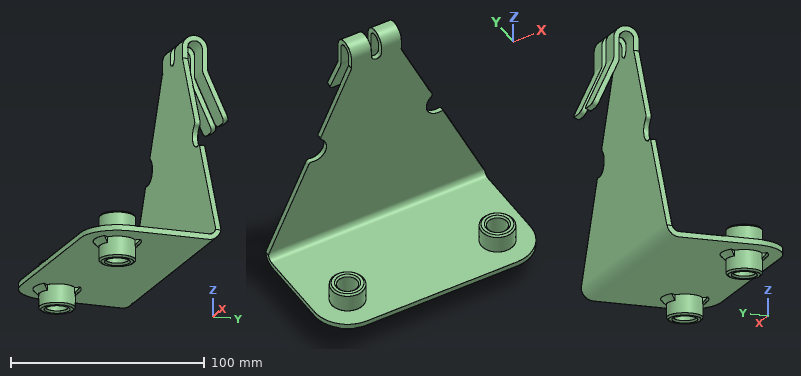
import cadquery as cq
import math


sheet = 3.0
inner_bend = 4.0
outer_bend = inner_bend + sheet

base_width = 130.0
base_depth = 70.0
base_corner = 20.0

overall_height = 126.0
hook_width = 30.0
hook_root_z = 113.0
hook_arc_z = overall_height - outer_bend
taper = math.radians(25)

notch_radius = 7.0
notch_z = 65.75
notch_corner = 2.0

slot_width = 6.0

return_length = 10.5
flare = math.radians(25)
tail_length = 27.3
tail_corner = 3.0

bushing_outer = 19.0
bushing_bore = 11.45
bushing_length = 25.0
bushing_chamfer = 1.0
bushing_clearance_hole = 19.2
bushing_spacing = base_width - 2 * base_corner
bushing_y = base_corner - base_depth
bushing_bottom_z = (sheet - bushing_length) / 2

weld_leg = 3.0
weld_sweep = 75.0

bushing_centres = [(side * bushing_spacing / 2, bushing_y) for side in (-1, 1)]


def tapered_half_width(z):
    """Distance from X = 0 to the sloping side of the upright at height z."""
    return hook_width / 2 + (hook_root_z - z) * math.tan(taper)


def on_arc(centre, radius, angle):
    """Point on a circle at the given angle."""
    return (centre[0] + radius * math.cos(angle), centre[1] + radius * math.sin(angle))


def make_angle():
    """L-shaped sheet: the base, the lower bend and an upright as wide as the base."""
    bend_centre = (-outer_bend, outer_bend)
    mid_bend = math.radians(-45)
    angle = (
        cq.Workplane("YZ")
        .moveTo(-base_depth, 0)
        .lineTo(-outer_bend, 0)
        .threePointArc(on_arc(bend_centre, outer_bend, mid_bend), (0, outer_bend))
        .lineTo(0, hook_root_z)
        .lineTo(-sheet, hook_root_z)
        .lineTo(-sheet, outer_bend)
        .threePointArc(on_arc(bend_centre, inner_bend, mid_bend), (-outer_bend, sheet))
        .lineTo(-base_depth, sheet)
        .close()
        .extrude(base_width / 2, both=True)
    )
    return angle.edges("|Z and <Y").fillet(base_corner)


def taper_upright(angle):
    """Trim the upright to its sloping sides, which start just inside the lower bend."""
    half_base = base_width / 2
    taper_start_z = hook_root_z - (half_base - hook_width / 2) / math.tan(taper)
    outline = (
        cq.Workplane("XZ")
        .polyline([
            (-half_base, 0),
            (half_base, 0),
            (half_base, taper_start_z),
            (hook_width / 2, hook_root_z),
            (-hook_width / 2, hook_root_z),
            (-half_base, taper_start_z),
        ])
        .close()
        .extrude(base_depth, both=True)
    )
    return angle.intersect(outline)


def cut_notch(upright, side):
    """Round notch in one sloping side, with the two corners it leaves rounded."""
    notch = (
        cq.Workplane("XZ")
        .center(side * tapered_half_width(notch_z), notch_z)
        .circle(notch_radius)
        .extrude(sheet)
    )
    upright = upright.cut(notch)

    for direction in (-1, 1):
        corner_z = notch_z + direction * notch_radius * math.cos(taper)
        corner = (side * tapered_half_width(corner_z), -sheet / 2, corner_z)
        upright = upright.edges(cq.selectors.NearestToPointSelector(corner)).fillet(notch_corner)
    return upright


def make_hook():
    """Strip that rises from the upright, turns over to the back and flares outward."""
    arch_centre = (outer_bend - sheet, hook_arc_z)
    return_y = 2 * outer_bend - sheet
    return_end_z = hook_arc_z - return_length
    flare_centre = (return_y + inner_bend, return_end_z)

    def flare_point(radius, turn):
        return on_arc(flare_centre, radius, math.pi + turn)

    def tail_end(start):
        return (start[0] + tail_length * math.sin(flare), start[1] - tail_length * math.cos(flare))

    outside_flare_end = flare_point(inner_bend, flare)
    inside_flare_end = flare_point(outer_bend, flare)
    hook = (
        cq.Workplane("YZ")
        .moveTo(-sheet, hook_root_z)
        .lineTo(-sheet, hook_arc_z)
        .threePointArc((arch_centre[0], overall_height), (return_y, hook_arc_z))
        .lineTo(return_y, return_end_z)
        .threePointArc(flare_point(inner_bend, flare / 2), outside_flare_end)
        .lineTo(*tail_end(outside_flare_end))
        .lineTo(*tail_end(inside_flare_end))
        .lineTo(*inside_flare_end)
        .threePointArc(flare_point(outer_bend, flare / 2), (return_y - sheet, return_end_z))
        .lineTo(return_y - sheet, hook_arc_z)
        .threePointArc((arch_centre[0], hook_arc_z + inner_bend), (0, hook_arc_z))
        .lineTo(0, hook_root_z)
        .close()
        .extrude(hook_width / 2, both=True)
    )
    return cut_slot(hook).faces(">Y").edges("not |X").fillet(tail_corner)


def cut_slot(hook):
    """Split the hook in two; the slot ends in a half round just above the upright."""
    slot_end_z = hook_root_z + slot_width / 2
    rounded_end = (
        cq.Workplane("XZ")
        .center(0, slot_end_z)
        .circle(slot_width / 2)
        .extrude(sheet)
    )
    front_slot = cq.Workplane("XY").box(
        slot_width, sheet, overall_height - slot_end_z, centered=(True, False, False)
    ).translate((0, -sheet, slot_end_z))
    back_slot = cq.Workplane("XY").box(
        slot_width, overall_height, overall_height, centered=(True, False, False)
    )
    return hook.cut(rounded_end).cut(front_slot).cut(back_slot)


def make_bracket():
    bracket = taper_upright(make_angle())
    for side in (-1, 1):
        bracket = cut_notch(bracket, side)
    bushing_holes = (
        cq.Workplane("XY")
        .pushPoints(bushing_centres)
        .circle(bushing_clearance_hole / 2)
        .extrude(sheet)
    )
    return bracket.cut(bushing_holes).union(make_hook())


def make_bushing(centre):
    """Plain tube with every rim chamfered, set halfway through the base."""
    return (
        cq.Workplane("XY")
        .circle(bushing_outer / 2)
        .circle(bushing_bore / 2)
        .extrude(bushing_length)
        .faces("<Z or >Z")
        .edges()
        .chamfer(bushing_chamfer)
        .translate((*centre, bushing_bottom_z))
    )


def make_weld(centre, facing):
    """Triangular bead swept part way round a bushing, centred on the facing angle."""
    inner_radius = bushing_outer / 2
    return (
        cq.Workplane("XZ")
        .polyline([(inner_radius, 0), (inner_radius + weld_leg, 0), (inner_radius, -weld_leg)])
        .close()
        .revolve(weld_sweep, (0, 0, 0), (0, 1, 0))
        .rotate((0, 0, 0), (0, 0, 1), facing - weld_sweep / 2)
        .translate((*centre, 0))
    )


bracket = make_bracket()
bushings = [make_bushing(centre) for centre in bushing_centres]
welds = [make_weld(centre, facing) for centre in bushing_centres for facing in (-90, 90)]

result = cq.Compound.makeCompound([
    bracket.val(),
    *[bushing.val() for bushing in bushings],
    *[weld.val() for weld in welds],
])